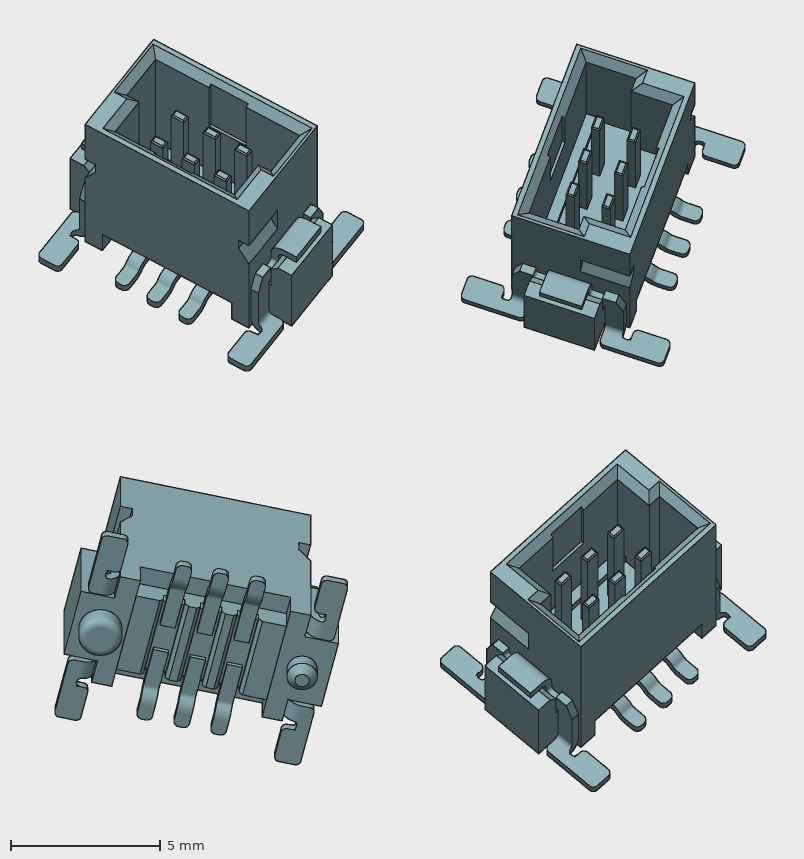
import cadquery as cq


EPS = 0.01

BODY_X, BODY_Y = 6.55, 4.2
BODY_BOTTOM, BODY_TOP = 0.1, 6.8
WALL_X = BODY_X / 2
WALL_Y = BODY_Y / 2

CAVITY_HALF_X = 2.88
CAVITY_HALF_Y = 1.62
KEYED_HALF_X = 2.385
KEY_Y = -0.15
LEAD_IN = 0.3
FLOOR_Z = 1.5
LEDGE_Z = 1.8
LEDGE_Y = 1.235
LATCH_WIDTH = 1.48
LATCH_DEPTH = 0.1
LATCH_BOTTOM = 4.3

POCKET_DEPTH = 0.41
POCKET_TOP, POCKET_KNEE, POCKET_BOTTOM = 4.81, 4.36, 3.75
POCKET_BACK_Y = -0.34

RECESS_X = 5.17
RECESS_DEPTH = 0.64
RECESS_TOP = 1.03
BASE_BOTTOM = 0.17
GROOVE_WIDTH = 0.73
GROOVE_CHAMFER_X, GROOVE_CHAMFER_TOP = 0.13, 0.31
GROOVE_CEILING = 0.44

PITCH = 1.27
THICKNESS = 0.3
PIN_WIDTH = 0.5
PIN_TOP = 5.65
PIN_TIP_CHAMFER = 0.05
LEAD_WIDTH = 0.53
LEAD_RISE = 0.27
LEAD_END_Y = 3.05
LEAD_BEND_Y = 2.35
LEAD_SLOPE_SHIFT = 0.1
LEAD_INNER_BEND, LEAD_OUTER_BEND = 0.2, 0.6
LEAD_TIP_RADIUS = 0.2

BLOCK_X = 8.86 / 2
BLOCK_INNER_X = 3.6
BLOCK_Y = 2.5
BLOCK_TOP = 3.0
BLOCK_CHAMFER = 0.28
BRIDGE_TOP = 1.82

PEG_X = 3.47
PEG_BOTTOM = -0.65
PEG_EDGE = 0.27
ROUND_PEG_DIAMETER = 1.45
SMALL_PEG_DIAMETER = 1.02

PLATE_HALF_Y = 1.98
PLATE_TOP = 2.78
PLATE_CHAMFER_Y, PLATE_CHAMFER_Z = 0.27, 0.6
OPENING_HALF_Y, OPENING_TOP = 1.33, 2.07
OPENING_RADIUS = 0.1
TAB_WIDTH, TAB_END_X, TAB_TOP = 1.5, 4.3, 3.37
RELIEF_WIDTH, RELIEF_BOTTOM, RELIEF_RADIUS = 0.48, 2.45, 0.12
BEND_INNER = 0.2
BEND_OUTER = BEND_INNER + THICKNESS
FOOT_INNER_X, FOOT_OUTER_X = 3.33, 4.23
FOOT_END_Y = 3.6
FOOT_RADIUS = 0.18
NECK_Y = 2.29
NECK_RADIUS = 0.12


def block(x0, x1, y0, y1, z0, z1):
    """Box between two opposite corners."""
    return cq.Workplane("XY").box(x1 - x0, y1 - y0, z1 - z0, centered=False).translate((x0, y0, z0))


def cavity_outline(grow, z):
    """Wire of the keyed cavity, grown outwards by the given amount."""
    wide = CAVITY_HALF_X + grow
    narrow = KEYED_HALF_X + grow
    far = CAVITY_HALF_Y + grow
    key = KEY_Y - grow
    points = [
        (-narrow, -far), (narrow, -far), (narrow, key), (wide, key),
        (wide, far), (-wide, far), (-wide, key), (-narrow, key),
    ]
    return cq.Wire.makePolygon([cq.Vector(x, y, z) for x, y in points], close=True)


def cavity():
    depth = cq.Vector(0, 0, BODY_TOP - FLOOR_Z)
    cut = cq.Workplane(cq.Solid.extrudeLinear(cavity_outline(0, FLOOR_Z), [], depth))
    lead_in_ends = [cavity_outline(0, BODY_TOP - LEAD_IN), cavity_outline(LEAD_IN, BODY_TOP)]
    lead_in = cq.Solid.makeLoft(lead_in_ends, True)
    latch_y = CAVITY_HALF_Y + LATCH_DEPTH
    latches = block(-LATCH_WIDTH / 2, LATCH_WIDTH / 2, -latch_y, latch_y, LATCH_BOTTOM, BODY_TOP)
    cut = cut.union(cq.Workplane(lead_in)).union(latches)
    for side in (-1, 1):
        inner, outer = sorted((side * LEDGE_Y, side * WALL_Y))
        cut = cut.cut(block(-WALL_X, WALL_X, inner, outer, FLOOR_Z, LEDGE_Z))
    return cut


def key_pocket():
    """Pocket in the front of the -X wall, with a sloped lower face."""
    deep = -WALL_X + POCKET_DEPTH
    outline = [(-WALL_X, POCKET_BOTTOM), (deep, POCKET_KNEE), (deep, POCKET_TOP), (-WALL_X, POCKET_TOP)]
    length = WALL_Y + POCKET_BACK_Y
    return cq.Workplane("XZ", origin=(0, POCKET_BACK_Y, 0)).polyline(outline).close().extrude(length)


def contact_groove(x):
    """Groove across the underside, flared below and with its ceiling ramped up at both ends."""
    half = GROOVE_WIDTH / 2
    mouth = half + GROOVE_CHAMFER_X
    outline = [
        (x - mouth, BASE_BOTTOM), (x - half, GROOVE_CHAMFER_TOP), (x - half, GROOVE_CEILING),
        (x + half, GROOVE_CEILING), (x + half, GROOVE_CHAMFER_TOP), (x + mouth, BASE_BOTTOM),
    ]
    groove = cq.Workplane("XZ").polyline(outline).close().extrude(WALL_Y, both=True)
    face_y = WALL_Y - RECESS_DEPTH
    rise = LEAD_RISE + THICKNESS - GROOVE_CEILING
    ramp_top = GROOVE_CEILING + rise
    ramp = (
        cq.Workplane("YZ", origin=(x, 0, 0))
        .polyline([(face_y - rise, GROOVE_CEILING), (face_y, GROOVE_CEILING), (face_y, ramp_top)])
        .close().extrude(half, both=True)
    )
    return groove.union(ramp).union(ramp.mirror("XZ"))


def contact(x):
    """Contact of the back row: an upright pin and a lead stepping down to the board."""
    y = PITCH / 2
    top = LEAD_RISE + THICKNESS
    high_y = LEAD_BEND_Y - LEAD_RISE
    pin_near, pin_far = y - THICKNESS / 2, y + THICKNESS / 2
    pin = block(x - PIN_WIDTH / 2, x + PIN_WIDTH / 2, pin_near, pin_far, LEAD_RISE, PIN_TOP)
    pin = pin.faces(">Z").chamfer(PIN_TIP_CHAMFER)
    outline = [
        (pin_near, LEAD_RISE), (high_y - LEAD_SLOPE_SHIFT, LEAD_RISE), (LEAD_BEND_Y - LEAD_SLOPE_SHIFT, 0),
        (LEAD_END_Y, 0), (LEAD_END_Y, THICKNESS), (LEAD_BEND_Y, THICKNESS),
        (high_y, top), (pin_near, top),
    ]
    lead = cq.Workplane("YZ", origin=(x, 0, 0)).polyline(outline).close().extrude(LEAD_WIDTH / 2, both=True)
    outer_bends = [(high_y, top), (LEAD_BEND_Y - LEAD_SLOPE_SHIFT, 0)]
    inner_bends = [(high_y - LEAD_SLOPE_SHIFT, LEAD_RISE), (LEAD_BEND_Y, THICKNESS)]
    for bends, radius in ((outer_bends, LEAD_OUTER_BEND), (inner_bends, LEAD_INNER_BEND)):
        for bend_y, bend_z in bends:
            lead = lead.edges(cq.selectors.NearestToPointSelector((x, bend_y, bend_z))).fillet(radius)
    lead = lead.edges("|Z and >Y").fillet(LEAD_TIP_RADIUS)
    return pin.union(lead)


def end_block():
    """Clip retainer on the -X end with its bridge to the shroud."""
    half_y = BLOCK_Y / 2
    retainer = block(-BLOCK_X, -BLOCK_INNER_X, -half_y, half_y, BODY_BOTTOM, BLOCK_TOP)
    retainer = retainer.edges(">X and >Z").chamfer(BLOCK_CHAMFER)
    bridge = block(-BLOCK_INNER_X - EPS, -WALL_X + EPS, -half_y, half_y, BODY_BOTTOM, BRIDGE_TOP)
    return retainer.union(bridge)


def peg(x, diameter):
    """Plain locating peg reaching below the board surface."""
    start = cq.Workplane("XY", origin=(x, 0, BODY_BOTTOM + EPS))
    return start.circle(diameter / 2).extrude(PEG_BOTTOM - BODY_BOTTOM - EPS)


def bent_strip(end_x, flat_z, turn, stop_z, half_y):
    """Strip on the -X wall: upright from stop_z, bent outwards to a flat ending at end_x.

    flat_z is the flat face on the outside of the bend, turn is +1 if the bend is at the top.
    """
    inner = -WALL_X
    outer = inner - THICKNESS
    bend_x = inner - BEND_OUTER
    bend_z = flat_z - turn * BEND_OUTER
    diagonal = 0.5 ** 0.5
    outside_mid = (bend_x + BEND_OUTER * diagonal, bend_z + turn * BEND_OUTER * diagonal)
    inside_mid = (bend_x + BEND_INNER * diagonal, bend_z + turn * BEND_INNER * diagonal)
    return (
        cq.Workplane("XZ").moveTo(inner, stop_z).lineTo(inner, bend_z)
        .threePointArc(outside_mid, (bend_x, flat_z)).lineTo(end_x, flat_z)
        .lineTo(end_x, flat_z - turn * THICKNESS).lineTo(bend_x, flat_z - turn * THICKNESS)
        .threePointArc(inside_mid, (outer, bend_z)).lineTo(outer, stop_z).close()
        .extrude(half_y, both=True)
    )


def clip_foot():
    """Leg bend and solder foot on the +Y side of the -X clip."""
    leg_stop = BEND_OUTER + EPS
    middle_y = (OPENING_HALF_Y + NECK_Y) / 2
    bend_x = -WALL_X - BEND_OUTER
    bend = bent_strip(bend_x - EPS, 0, -1, leg_stop, (NECK_Y - OPENING_HALF_Y) / 2)
    bend = bend.translate((0, middle_y, 0))
    foot = (
        cq.Workplane("XY")
        .polyline([
            (bend_x, OPENING_HALF_Y), (-FOOT_OUTER_X, OPENING_HALF_Y), (-FOOT_OUTER_X, FOOT_END_Y),
            (-FOOT_INNER_X, FOOT_END_Y), (-FOOT_INNER_X, NECK_Y), (bend_x, NECK_Y),
        ])
        .close().extrude(THICKNESS)
        .edges("|Z and (<X or >X or >Y)").fillet(FOOT_RADIUS)
    )
    neck = block(bend_x, -WALL_X + EPS, PLATE_HALF_Y, NECK_Y, -EPS, leg_stop + EPS)
    return bend.union(foot).cut(neck.edges("|Z and <X").fillet(NECK_RADIUS))


def clip():
    """Hold-down clip on the -X end: plate straddling the bridge, top tab and two feet."""
    inner, outer = -WALL_X, -WALL_X - THICKNESS
    shoulder = PLATE_HALF_Y - PLATE_CHAMFER_Y
    leg_bottom = BEND_OUTER
    plate = (
        cq.Workplane("YZ", origin=(outer, 0, 0))
        .polyline([
            (-PLATE_HALF_Y, leg_bottom), (-PLATE_HALF_Y, PLATE_TOP - PLATE_CHAMFER_Z), (-shoulder, PLATE_TOP),
            (shoulder, PLATE_TOP), (PLATE_HALF_Y, PLATE_TOP - PLATE_CHAMFER_Z), (PLATE_HALF_Y, leg_bottom),
        ])
        .close().extrude(THICKNESS)
    )
    opening = block(outer, inner, -OPENING_HALF_Y, OPENING_HALF_Y, 0, OPENING_TOP)
    plate = plate.cut(opening.edges("|X and >Z").fillet(OPENING_RADIUS))
    for side in (-1, 1):
        near, far = sorted((side * TAB_WIDTH / 2, side * (TAB_WIDTH / 2 + RELIEF_WIDTH)))
        relief = block(outer, inner, near, far, RELIEF_BOTTOM, PLATE_TOP)
        plate = plate.cut(relief.edges("|X and <Z").fillet(RELIEF_RADIUS))
    tab = bent_strip(-TAB_END_X, TAB_TOP, 1, RELIEF_BOTTOM, TAB_WIDTH / 2)
    foot = clip_foot()
    return plate.union(tab).union(foot).union(foot.mirror("XZ"))


def housing_with_contacts():
    body = block(-WALL_X, WALL_X, -WALL_Y, WALL_Y, BODY_BOTTOM, BODY_TOP).cut(cavity())
    body = body.cut(key_pocket()).cut(key_pocket().mirror("YZ"))
    half = RECESS_X / 2
    body = body.cut(block(-half, half, -WALL_Y, WALL_Y, BODY_BOTTOM, BASE_BOTTOM))
    recess_y = WALL_Y - RECESS_DEPTH
    body = body.cut(block(-half, half, recess_y, WALL_Y, BODY_BOTTOM, RECESS_TOP))
    body = body.cut(block(-half, half, -WALL_Y, -recess_y, BODY_BOTTOM, RECESS_TOP))
    columns = (-PITCH, 0, PITCH)
    for x in columns:
        body = body.cut(contact_groove(x))
    for x in columns:
        body = body.union(contact(x)).union(contact(x).mirror("XZ"))
    body = body.union(end_block()).union(end_block().mirror("YZ"))
    body = body.union(peg(-PEG_X, ROUND_PEG_DIAMETER).faces("<Z").edges().fillet(PEG_EDGE))
    body = body.union(peg(PEG_X, SMALL_PEG_DIAMETER).faces("<Z").edges().chamfer(PEG_EDGE))
    return body.union(clip().mirror("YZ"))


housing = housing_with_contacts()
hold_down_clip = clip()

result = cq.Compound.makeCompound([*housing.solids().vals(), *hold_down_clip.solids().vals()])